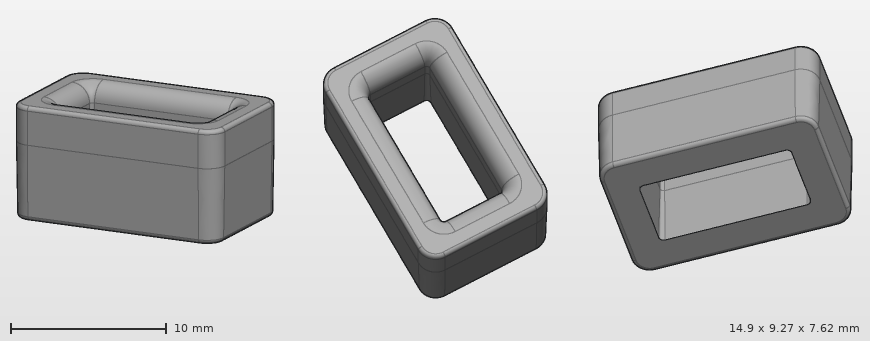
import cadquery as cq

length = 14.86
width = 9.27
height = 7.62
corner_radius = 1.28
edge_radius = 0.28

upper_height = 2.55
parting_z = height - upper_height
draft_angle = 1.0

opening_length = 10.05
opening_width = 4.47
opening_corner_radius = 0.24
lip_radius = 1.26


def rounded_rectangle(size_x, size_y, radius):
    return cq.Sketch().rect(size_x, size_y).vertices().fillet(radius)


def make_body():
    outline = rounded_rectangle(length, width, corner_radius)
    parting_plane = cq.Workplane("XY").workplane(offset=parting_z)
    upper = parting_plane.placeSketch(outline).extrude(upper_height)
    lower = parting_plane.placeSketch(outline).extrude(-parting_z, taper=draft_angle)
    body = upper.union(lower, clean=False)
    return body.faces(">Z or <Z").edges().fillet(edge_radius)


def cut_opening(body):
    outline = rounded_rectangle(opening_length, opening_width, opening_corner_radius)
    parting_plane = cq.Workplane("XY").workplane(offset=parting_z)
    upper = parting_plane.placeSketch(outline).extrude(upper_height)
    lower = parting_plane.placeSketch(outline).extrude(-parting_z, taper=-draft_angle)
    ring = body.cut(upper, clean=False).cut(lower, clean=False)
    lip_box = cq.selectors.BoxSelector(
        (-opening_length / 2 - edge_radius, -opening_width / 2 - edge_radius, height - edge_radius),
        (opening_length / 2 + edge_radius, opening_width / 2 + edge_radius, height + edge_radius),
    )
    return ring.faces(">Z").edges(lip_box).fillet(lip_radius)


result = cut_opening(make_body())